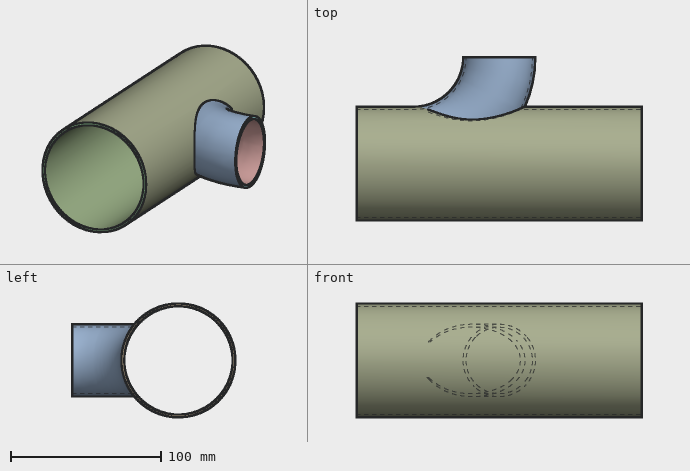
import cadquery as cq

run_length = 190.0
run_outer_diameter = 76.1
wall = 2.0
run_outer_radius = run_outer_diameter / 2
run_inner_radius = run_outer_radius - wall

branch_outer_radius = 48.3 / 2
branch_inner_radius = branch_outer_radius - wall
bend_radius = 57.0
bend_angle = 90.0

branch_end_y = run_outer_radius + bend_radius - branch_outer_radius


def run_cylinder(radius):
    """Solid cylinder over the full length of the run pipe."""
    return cq.Workplane("YZ").circle(radius).extrude(run_length / 2, both=True)


def branch_bend(radius):
    """Solid bend from the open branch end at X = 0, turning toward -X inside the run."""
    axis_start = (-bend_radius, 0)
    axis_end = (-bend_radius, -1)
    return (
        cq.Workplane("XZ", origin=(0, branch_end_y, 0))
        .circle(radius)
        .revolve(bend_angle, axis_start, axis_end)
    )


outer_body = run_cylinder(run_outer_radius).union(branch_bend(branch_outer_radius))
result = outer_body.cut(run_cylinder(run_inner_radius)).cut(branch_bend(branch_inner_radius))